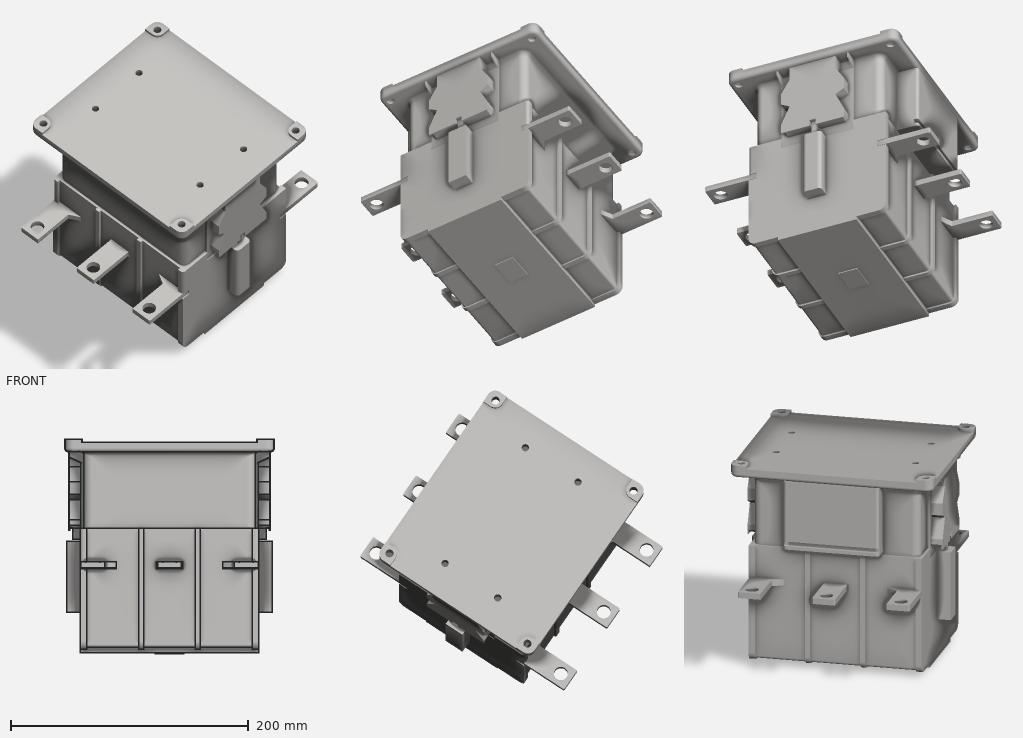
import cadquery as cq

label_thickness = 0.8
body_bottom = 4.0
panel_bottom = 5.5
body_top = 105.8
plate_bottom = 170.2
plate_top = 178.2
overall_height = 180.7

plate_width = 176.0
plate_depth = 156.3
plate_corner_radius = 7.0
plate_edge_radius = 3.0
pad_size = 14.5
pad_corner_radius = 6.8
pad_hole_diameter = 6.8
pad_hole_x = 80.0
pad_hole_y = 70.0
blind_hole_diameter = 6.2
blind_hole_x = 60.5
blind_hole_y = 26.7

upper_width = 144.0
upper_depth = 117.2
upper_corner_radius = 6.6
neck_flare = 3.0

lower_width = 150.3
lower_depth = 126.7
panel_recess = 2.5
panel_width = 43.5
panel_pitch = 47.8
panel_count = 3
rib_bottom_radius = 6.6
panel_edge_radius = 2.3
front_corner_radius = 3.0
foot_depth = 72.5
label_width = 24.0
label_depth = 17.4

terminal_bottom = 72.2
terminal_top = 77.5
terminal_reach = 103.5
terminal_width = 19.9
terminal_pitch = 64.5
terminal_hole_diameter = 11.5
terminal_hole_y = 93.5
terminal_corner_radius = 1.2
terminal_root_y = 55.7
terminal_shoulder_x = 44.7
terminal_shoulder_y = 66.2
slot_bottom = 71.5
middle_slot_width = 22.4

clip_base_half_depth = 33.1
clip_base_face_x = 74.5
clip_base_bottom = 96.3
clip_face_x = 84.7
clip_skin_thickness = 0.8
clip_bottom = 104.1
clip_core_chamfer_z = 108.0
clip_half_width = 29.0
clip_waist_half_width = 21.1
clip_neck_z = 157.5
clip_shoulder_top_z = 144.7
clip_shoulder_bottom_z = 134.1
clip_waist_z = 129.8
clip_flare_z = 112.8
catch_slot_width = 5.8
catch_slot_top = 110.0
catch_width = 4.1
catch_face_x = 81.5
web_thickness = 1.0
pocket_depth = 1.0
web_outer_z = 165.5
web_inner_z = 160.8

bar_face_x = 86.5
bar_depth = 17.0
bar_bottom = 35.0
bar_top = 94.8
bar_edge_radius = 3.3

rear_block_width = 82.8
rear_block_bottom = 110.0
rear_block_edge_radius = 2.7
rear_groove_bottom = 112.8
rear_groove_top = 117.0
rear_groove_depth = 4.3

lower_face_x = lower_width / 2
panel_face_y = lower_depth / 2 - panel_recess


def block(x_range, y_range, z_range):
    """Box between the given limits along each axis."""
    size = [high - low for low, high in (x_range, y_range, z_range)]
    corner = (x_range[0], y_range[0], z_range[0])
    return cq.Workplane("XY").box(*size, centered=False).translate(corner)


def centered_block(width, depth, bottom, top):
    """Box centred on the Z axis."""
    return block((-width / 2, width / 2), (-depth / 2, depth / 2), (bottom, top))


def side_extrusion(points, x_start, x_end):
    """Closed Y-Z outline extruded along X."""
    return cq.Workplane("YZ").workplane(offset=x_start).polyline(points).close().extrude(x_end - x_start)


def both_sides(shape, plane):
    """The shape together with its mirror image."""
    return shape.union(shape.mirror(plane))


def make_cover_plate():
    plate = centered_block(plate_width, plate_depth, plate_bottom, plate_top)
    plate = plate.edges("|Z").fillet(plate_corner_radius)
    plate = plate.faces("<Z").edges().fillet(plate_edge_radius)

    half_width = plate_width / 2
    half_depth = plate_depth / 2
    pad = block((half_width - pad_size, half_width), (half_depth - pad_size, half_depth),
                (plate_top, overall_height))
    pad = pad.edges("|Z and >X and >Y").fillet(plate_corner_radius)
    pad = pad.edges("|Z and <X and <Y").fillet(pad_corner_radius)
    return plate.union(both_sides(both_sides(pad, "YZ"), "XZ"))


def make_upper_body():
    body = centered_block(upper_width, upper_depth, body_top, plate_bottom)
    body = body.edges("|Z").fillet(upper_corner_radius)
    collar_bottom = plate_bottom - neck_flare
    collar = centered_block(upper_width + 2 * neck_flare, upper_depth + 2 * neck_flare,
                            collar_bottom, plate_bottom)
    collar = collar.edges("|Z").fillet(upper_corner_radius + neck_flare)
    groove = (cq.Workplane("YZ", origin=(0, -upper_depth / 2 - neck_flare, collar_bottom))
              .circle(neck_flare).sweep(collar.faces("<Z").wires()))
    return body.union(collar.cut(groove))


def make_lower_body():
    body = centered_block(lower_width, 2 * panel_face_y, panel_bottom, body_top)
    body = body.faces("<Z").edges("|X").fillet(panel_edge_radius)

    ribs = centered_block(lower_width, lower_depth, body_bottom, body_top)
    ribs = ribs.faces("<Z").edges("|X").fillet(rib_bottom_radius)
    for index in range(panel_count):
        center_x = (index - (panel_count - 1) / 2) * panel_pitch
        panel = centered_block(panel_width, lower_depth, 0, body_top)
        ribs = ribs.cut(panel.translate((center_x, 0, 0)))

    body = body.union(ribs)
    body = body.union(centered_block(lower_width, foot_depth, label_thickness, panel_bottom))
    body = body.union(centered_block(label_width, label_depth, 0, label_thickness))
    return body.cut(make_front_corner_rounding())


def make_front_corner_rounding():
    """Material to remove from the two front corners above the terminals."""
    center_x = lower_face_x - front_corner_radius
    center_y = front_corner_radius - lower_depth / 2
    corner = block((center_x, lower_face_x), (-lower_depth / 2, center_y), (terminal_top, body_top))
    post = (cq.Workplane("XY", origin=(center_x, center_y, terminal_top))
            .circle(front_corner_radius).extrude(body_top - terminal_top))
    return both_sides(corner.cut(post), "YZ")


def make_terminal_slots():
    middle = block((-middle_slot_width / 2, middle_slot_width / 2), (-lower_depth / 2, -terminal_root_y),
                   (slot_bottom, terminal_top))
    outer = block((terminal_shoulder_x, lower_face_x), (-lower_depth / 2, -terminal_root_y),
                  (slot_bottom, terminal_top))
    return both_sides(middle.union(both_sides(outer, "YZ")), "XZ")


def make_terminals():
    thickness = terminal_top - terminal_bottom
    inner_x = terminal_pitch - terminal_width / 2
    outer_x = terminal_pitch + terminal_width / 2

    middle = block((-terminal_width / 2, terminal_width / 2), (-terminal_reach, -terminal_root_y),
                   (terminal_bottom, terminal_top))
    outer = (cq.Workplane("XY").workplane(offset=terminal_bottom)
             .polyline([(outer_x, -terminal_root_y), (terminal_shoulder_x, -terminal_root_y),
                        (terminal_shoulder_x, -panel_face_y), (inner_x, -terminal_shoulder_y),
                        (inner_x, -terminal_reach), (outer_x, -terminal_reach)])
             .close().extrude(thickness))
    middle = middle.faces("<Y").edges("|Z").fillet(terminal_corner_radius)
    outer = outer.edges("|Z and >X and <Y").fillet(terminal_corner_radius)

    terminals = middle.union(both_sides(outer, "YZ"))
    holes = (cq.Workplane("XY").workplane(offset=terminal_bottom)
             .pushPoints([(step * terminal_pitch, -terminal_hole_y) for step in (-1, 0, 1)])
             .circle(terminal_hole_diameter / 2).extrude(thickness))
    return both_sides(terminals.cut(holes), "XZ")


def make_clip_seats():
    """Shallow recesses in both sides of the lower body that expose the clip bases."""
    seat = block((clip_base_face_x, lower_face_x), (-clip_base_half_depth, clip_base_half_depth),
                 (clip_base_bottom, body_top))
    return both_sides(seat, "YZ")


def make_clip_base():
    """Base pad under the +X clip, with a web and an open pocket at each top corner."""
    pocket_outer_y = clip_base_half_depth - web_thickness
    base = block((0, clip_base_face_x), (-clip_base_half_depth, clip_base_half_depth),
                 (clip_base_bottom, plate_bottom))
    pocket = block((clip_base_face_x - pocket_depth, clip_base_face_x),
                   (clip_waist_half_width, pocket_outer_y), (web_inner_z, plate_bottom))
    web = (cq.Workplane("XZ", origin=(0, clip_base_half_depth, 0))
           .polyline([(clip_base_face_x, plate_bottom), (clip_face_x, plate_bottom),
                      (clip_face_x, web_outer_z), (clip_base_face_x, web_inner_z)])
           .close().extrude(web_thickness))
    return base.cut(both_sides(pocket, "XZ")).union(both_sides(web, "XZ"))


def make_side_clip():
    """Clip on the +X side: base pad, waisted clip with a thin outer skin, and catch."""
    half_outline = [(clip_waist_half_width, plate_bottom), (clip_waist_half_width, clip_neck_z),
                    (clip_half_width, clip_shoulder_top_z), (clip_half_width, clip_shoulder_bottom_z),
                    (clip_waist_half_width, clip_waist_z), (clip_half_width, clip_flare_z)]
    skin_x = clip_face_x - clip_skin_thickness
    chamfer_y = clip_half_width - (clip_core_chamfer_z - body_top)
    core = half_outline + [(clip_half_width, clip_core_chamfer_z), (chamfer_y, body_top)]
    skin = half_outline + [(clip_half_width, clip_bottom)]

    def full_outline(half):
        return half + [(-y, z) for y, z in reversed(half)]

    clip = side_extrusion(full_outline(core), clip_base_face_x, skin_x)
    clip = clip.union(side_extrusion(full_outline(skin), skin_x, clip_face_x))
    clip = clip.cut(block((clip_base_face_x, clip_face_x), (-catch_slot_width / 2, catch_slot_width / 2),
                          (clip_bottom, catch_slot_top)))
    catch = block((clip_base_face_x, catch_face_x), (-catch_width / 2, catch_width / 2),
                  (clip_base_bottom, catch_slot_top))
    return make_clip_base().union(clip).union(catch)


def make_side_bars():
    bar = block((lower_face_x, bar_face_x), (-bar_depth / 2, bar_depth / 2), (bar_bottom, bar_top))
    rounded_bar = bar.edges("|Z and >X").fillet(bar_edge_radius)
    return rounded_bar.union(bar.mirror("YZ"))


def make_rear_block():
    half_width = rear_block_width / 2
    rear_face_y = plate_depth / 2
    rear = block((-half_width, half_width), (0, rear_face_y), (rear_block_bottom, plate_bottom))
    rear = rear.edges("|Z and >Y").fillet(rear_block_edge_radius)
    groove = block((-half_width, half_width), (rear_face_y - rear_groove_depth, rear_face_y),
                   (rear_groove_bottom, rear_groove_top))
    return rear.cut(groove)


def drill_cover_plate(part):
    top = cq.Workplane("XY").workplane(offset=overall_height)
    pad_holes = (top.rect(2 * pad_hole_x, 2 * pad_hole_y, forConstruction=True).vertices()
                 .circle(pad_hole_diameter / 2).extrude(plate_bottom - overall_height))
    blind_holes = (top.rect(2 * blind_hole_x, 2 * blind_hole_y, forConstruction=True).vertices()
                   .circle(blind_hole_diameter / 2).extrude(plate_bottom - overall_height))
    return part.cut(pad_holes).cut(blind_holes)


result = make_lower_body()
result = result.cut(make_terminal_slots())
result = result.cut(make_clip_seats())
result = result.union(make_terminals())
result = result.union(make_upper_body())
result = result.union(make_rear_block())
result = result.union(both_sides(make_side_clip(), "YZ"))
result = result.union(make_side_bars())
result = result.union(make_cover_plate())
result = drill_cover_plate(result)